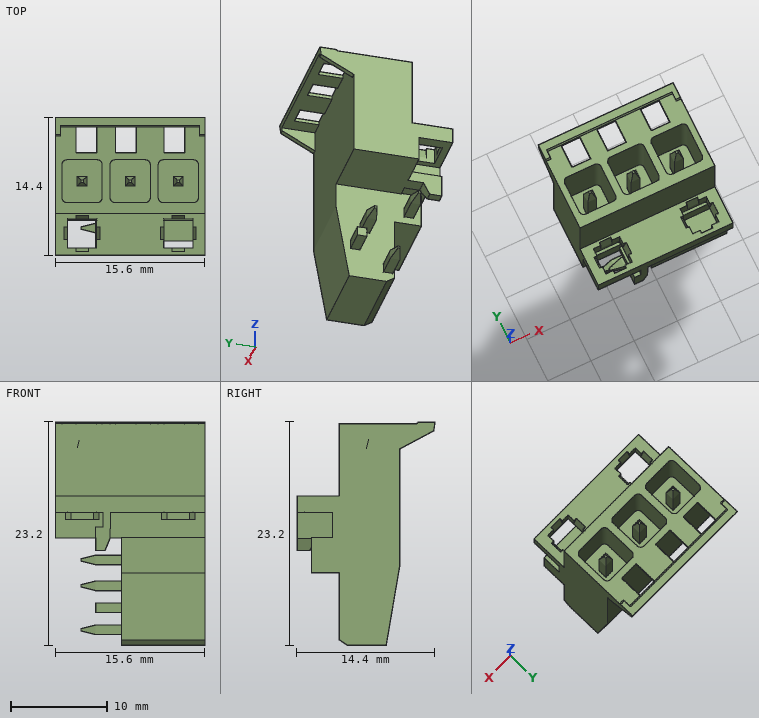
import cadquery as cq


width = 15.6
top_z = 23.1
front_y = 4.37
back_y = 10.7
body_bottom = 11.18
recess_y = 3.65
flange_bottom = 13.85
flange_top = 15.58

lip_top = 23.25
lip_back_y = 14.37
overhang_edge_y = 14.23
overhang_edge_z = 22.35
overhang_root_z = 20.45
lip_front_y = 13.35
lip_arm_end_y = 12.45
lip_arm_width = 0.55
lip_slope = 0.16

plate_underside = 22.72
gusset_width = lip_arm_width
window_lefts = (2.16, 6.28, 11.32)
window_width = 2.15

pole_count = 3
pole_pitch = 5.01
cavity_width = 4.18
cavity_length = 4.46
cavity_radius = 0.5
cavity_floor = flange_top
cavity_y = 7.72

latch_xs = (width / 2 - pole_pitch, width / 2 + pole_pitch)
latch_y = 2.28
latch_size = 3.02
notch_width = 1.3
notch_reach = 1.85
notch_depth = 1.19
relief_bottom = 13.14
relief_width = 3.49
relief_depth = 0.58

hook_left = 4.2
hook_stem_left = 4.95
hook_stem_right_top = 5.77
hook_stem_right = 5.7
hook_tip_right = 5.18
hook_ledge_z = 12.32
hook_chamfer_z = 11.11
hook_bottom = 9.88
hook_step_y = 2.0
hook_tip_back_y = 1.33

block_left = 6.88
block_top = 11.25
block_front_y = 1.46
shelf_z = 7.55
taper_start_z = 8.32
tail_back_y = 9.28
tail_chamfer_y = 5.23
tail_chamfer_z = 0.58

pin_size = 1.02
pin_tip_size = 0.25
pin_taper = 1.53
pin_embed = 1.16
contact_tip_z = 22.06
side_pin_tip_x = 2.67
side_pin_places = ((2.84, 8.9), (7.58, 6.2), (5.07, 1.63))
peg_place = (8.63, 3.93)
peg_end_x = side_pin_tip_x + pin_taper


def box(x0, x1, y0, y1, z0, z1):
    """Box between two opposite corners."""
    return cq.Workplane("XY").box(x1 - x0, y1 - y0, z1 - z0, centered=False).translate((x0, y0, z0))


def side_profile(points, x0, x1):
    """Prism with a (y, z) outline, running along X."""
    return cq.Workplane("YZ").workplane(offset=x0).polyline(points).close().extrude(x1 - x0)


def make_body():
    """Upper housing with the flange, the overhang and its U-shaped lip."""
    body = side_profile(
        [
            (recess_y, body_bottom),
            (back_y, body_bottom),
            (back_y, overhang_root_z),
            (overhang_edge_y, overhang_edge_z),
            (lip_back_y, lip_top),
            (lip_arm_end_y + lip_slope, lip_top),
            (lip_arm_end_y, top_z),
            (front_y, top_z),
            (front_y, flange_top),
            (0, flange_top),
            (0, flange_bottom),
            (recess_y, flange_bottom),
        ],
        0,
        width,
    )
    lip_gap = side_profile(
        [
            (lip_arm_end_y, top_z),
            (lip_front_y, top_z),
            (lip_front_y + lip_slope, lip_top),
            (lip_arm_end_y, lip_top),
        ],
        lip_arm_width,
        width - lip_arm_width,
    )
    return body.cut(lip_gap)


def make_block():
    """Lower block carrying the side pins, with its tapered tail."""
    return side_profile(
        [
            (block_front_y, block_top),
            (back_y, block_top),
            (back_y, taper_start_z),
            (tail_back_y, 0),
            (tail_chamfer_y, 0),
            (front_y, tail_chamfer_z),
            (front_y, shelf_z),
            (block_front_y, shelf_z),
        ],
        block_left,
        width,
    )


def make_hook():
    """Hook hanging from the flange: its front outline trimmed by its side outline."""
    outline = [
        (hook_stem_left, flange_bottom),
        (hook_stem_right_top, flange_bottom),
        (hook_stem_right, hook_chamfer_z),
        (hook_tip_right, hook_bottom),
        (hook_left, hook_bottom),
        (hook_left, hook_ledge_z),
        (hook_stem_left, hook_ledge_z),
    ]
    front = cq.Workplane("XZ").workplane(offset=-recess_y).polyline(outline).close().extrude(recess_y)
    side = side_profile(
        [
            (0, flange_bottom),
            (recess_y, flange_bottom),
            (recess_y, body_bottom),
            (hook_step_y, body_bottom),
            (hook_tip_back_y, hook_bottom),
            (0, hook_bottom),
        ],
        hook_left,
        hook_stem_right_top,
    )
    return front.intersect(side)


def make_overhang_hollow():
    """Space under the overhang plate, open at the rear, leaving a gusset at each end."""
    return box(gusset_width, width - gusset_width, back_y, lip_back_y, overhang_root_z, plate_underside)


def window_cutter(left):
    """Opening down through the overhang plate, flush with the back wall."""
    return box(left, left + window_width, back_y, lip_front_y, plate_underside, top_z)


def cavity_cutter(x):
    """Round-cornered contact cavity."""
    depth = top_z - cavity_floor
    cavity = cq.Workplane("XY").box(cavity_width, cavity_length, depth, centered=(True, True, False))
    return cavity.edges("|Z").fillet(cavity_radius).translate((x, cavity_y, cavity_floor))


def latch_cutter(x):
    """Square flange window, four sloping lead-in notches and the relief in the wall below."""
    half = latch_size / 2
    cutter = box(-half, half, -half, half, flange_bottom, flange_top)
    notch = (
        cq.Workplane("XZ")
        .polyline([
            (0, flange_top),
            (notch_reach, flange_top),
            (half, flange_top - notch_depth),
            (0, flange_top - notch_depth),
        ])
        .close()
        .extrude(notch_width / 2, both=True)
    )
    for turn in range(4):
        cutter = cutter.union(notch.rotate((0, 0, 0), (0, 0, 1), 90 * turn))
    wall_y = recess_y - latch_y
    relief = (
        cq.Workplane("XY")
        .workplane(offset=relief_bottom)
        .polyline([
            (-relief_width / 2, wall_y),
            (relief_width / 2, wall_y),
            (relief_width / 2 - relief_depth, wall_y + relief_depth),
            (-relief_width / 2 + relief_depth, wall_y + relief_depth),
        ])
        .close()
        .extrude(flange_bottom - relief_bottom)
    )
    return cutter.union(relief).translate((x, latch_y, 0))


def pin(length):
    """Square pin along +Z from the origin, with a pyramid-shaped tip."""
    shank_length = length - pin_taper
    shank = cq.Workplane("XY").rect(pin_size, pin_size).extrude(shank_length)
    tip = (
        cq.Workplane("XY")
        .workplane(offset=shank_length)
        .rect(pin_size, pin_size)
        .workplane(offset=pin_taper)
        .rect(pin_tip_size, pin_tip_size)
        .loft(ruled=True)
    )
    return shank.union(tip)


def contact_pin(x):
    """Upright pin standing in a cavity."""
    base_z = cavity_floor - pin_embed
    return pin(contact_tip_z - base_z).translate((x, cavity_y, base_z))


def side_pin(y, z):
    """Pin pointing to -X out of the lower block."""
    base_x = block_left + pin_embed
    return pin(base_x - side_pin_tip_x).rotate((0, 0, 0), (0, 1, 0), -90).translate((base_x, y, z))


def make_peg():
    """Blunt locating peg moulded on the lower block."""
    y, z = peg_place
    half = pin_size / 2
    return box(peg_end_x, block_left, y - half, y + half, z - half, z + half)


pole_xs = [width / 2 + (i - (pole_count - 1) / 2) * pole_pitch for i in range(pole_count)]
contact_pins = [contact_pin(x) for x in pole_xs]
side_pins = [side_pin(y, z) for y, z in side_pin_places]

housing = make_body().union(make_block()).union(make_hook()).union(make_peg())
housing = housing.cut(make_overhang_hollow())
for left in window_lefts:
    housing = housing.cut(window_cutter(left))
for x in pole_xs:
    housing = housing.cut(cavity_cutter(x))
for x in latch_xs:
    housing = housing.cut(latch_cutter(x))
for inserted_pin in contact_pins + side_pins:
    housing = housing.cut(inserted_pin)

result = cq.Compound.makeCompound(
    [housing.val()] + [body.val() for body in contact_pins + side_pins]
)